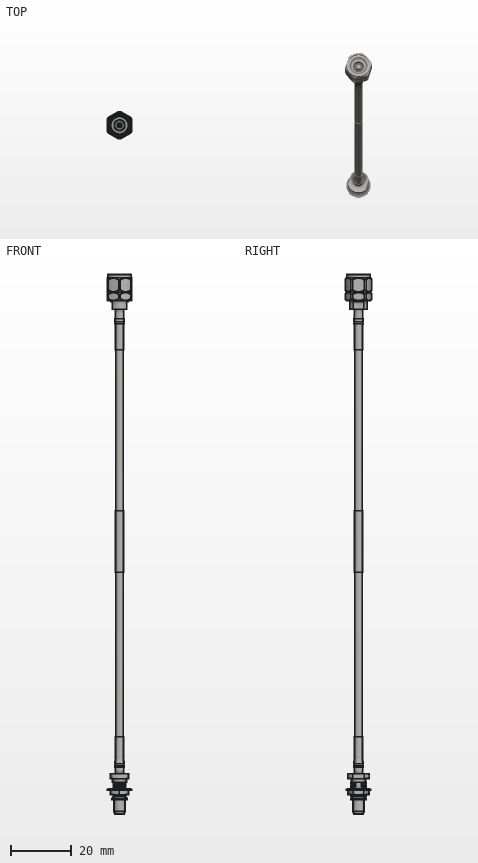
import cadquery as cq


NUT_FLATS = 8.0
NUT_CORNER_D = 8.9
NUT_ROUND_D = 7.8
NUT_TOP = 177.1
NUT_COLLAR_Z = 176.0
NUT_BOTTOM = 168.5
NUT_GROOVE_Z = 171.3
NUT_CHAMFER_H = 0.7
NUT_MOUTH_D = 6.9
NUT_MOUTH_BOTTOM = 176.0
NUT_THREAD_ROOT_D = 6.5
NUT_THREAD_PITCH = 0.5
NUT_THREAD_GROOVES = 4

PLUG_D = 5.8
PLUG_TOP = 174.0
PLUG_BOTTOM = 165.5
PLUG_FLATS = 4.8
PLUG_FLATS_TOP = 168.0
SOCKET_D = 3.5
SOCKET_DEPTH = 1.8

PIN_D = 1.5
PIN_TIP_D = 0.7
PIN_SEAT_DEPTH = 0.9
PIN_TIP_H = (PIN_D - PIN_TIP_D) / 2

CABLE_D = 2.5
TAIL_D = 2.8
SLEEVE_D = 2.7
RIDGE_D = 3.0
PLUG_TAIL_END = 161.0
PLUG_RIDGE_BOTTOM = 161.5
PLUG_RIDGE_TOP = 162.5
SLEEVE_CHAMFER_H = 0.5
UPPER_SLEEVE_BOTTOM = 152.3
MARKER_TOP = 99.5
MARKER_BOTTOM = 79.3
LOWER_SLEEVE_TOP = 25.3
LOWER_SLEEVE_TAPER_TOP = 18.0
LOWER_SLEEVE_TAPER_BOTTOM = 17.0
BULKHEAD_TAIL_END = 16.5
BULKHEAD_RIDGE_TOP = 16.0
BULKHEAD_RIDGE_BOTTOM = 15.4

FLANGE_D = 7.0
FLANGE_FLATS = 6.0
FLANGE_TOP = 13.3
FLANGE_BOTTOM = 11.7
NECK_D = 4.6
NECK_BOTTOM = 10.5
THREAD_D = 5.0
THREAD_ROOT_D = 4.6
THREAD_FLATS = 4.3
THREAD_BOTTOM = 5.8
THREAD_PITCH = 0.5
THREAD_GROOVES = 3
SHOULDER_BOTTOM = 4.8
SHOULDER_TOP = 5.1
NOSE_D = 3.7
NOSE_TIP_D = 3.0
NOSE_CHAMFER_Z = 0.9

WASHER_D = 8.0
WASHER_TOP = 8.3
WASHER_BOTTOM = 7.8
WASHER_BEVEL_W = 0.7
WASHER_BEVEL_H = 0.2
HEX_FLATS = 6.0
HEX_BOTTOM = 6.4


def turned(profile):
    """Solid of revolution about Z through (diameter, z) points, closed along the axis."""
    points = [(0, profile[0][1])]
    points += [(diameter / 2, z) for diameter, z in profile]
    points.append((0, profile[-1][1]))
    return cq.Workplane("XZ").polyline(points).close().revolve(360, (0, 0), (0, 1))


def cylinder(diameter, bottom, top):
    return turned([(diameter, bottom), (diameter, top)])


def hexagon(flats, bottom, top):
    """Hexagonal prism with two of its flats facing along X."""
    prism = cq.Workplane("XY").workplane(offset=bottom).polygon(6, flats, circumscribed=True)
    return prism.extrude(top - bottom)


def flatted(diameter, flats, bottom, top):
    """Cylinder with two flats facing along X."""
    slab = cq.Workplane("XY").box(flats, diameter, top - bottom, centered=(True, True, False))
    return cylinder(diameter, bottom, top).intersect(slab.translate((0, 0, bottom)))


def make_coupling_nut():
    profile = [
        (NUT_ROUND_D, NUT_BOTTOM),
        (NUT_CORNER_D, NUT_BOTTOM + NUT_CHAMFER_H),
        (NUT_CORNER_D, NUT_GROOVE_Z - NUT_CHAMFER_H),
        (NUT_ROUND_D, NUT_GROOVE_Z),
        (NUT_CORNER_D, NUT_GROOVE_Z + NUT_CHAMFER_H),
        (NUT_CORNER_D, NUT_COLLAR_Z - NUT_CHAMFER_H),
        (NUT_ROUND_D, NUT_COLLAR_Z),
        (NUT_ROUND_D, NUT_TOP),
    ]
    blank = hexagon(NUT_FLATS, NUT_BOTTOM, NUT_TOP).intersect(turned(profile))
    nut = blank.cut(cylinder(PLUG_D, NUT_BOTTOM, NUT_TOP))
    nut = nut.cut(cylinder(NUT_MOUTH_D, NUT_MOUTH_BOTTOM, NUT_TOP))
    for number in range(NUT_THREAD_GROOVES):
        top = NUT_MOUTH_BOTTOM - number * NUT_THREAD_PITCH
        nut = nut.cut(make_nut_thread_groove(top))
    return nut


def make_nut_thread_groove(top):
    """Double cone that cuts one V-shaped groove below `top` into the bore of the coupling nut."""
    bottom = top - NUT_THREAD_PITCH
    return turned([
        (PLUG_D, bottom),
        (NUT_THREAD_ROOT_D, (bottom + top) / 2),
        (PLUG_D, top),
    ])


def make_plug_pin():
    return turned([
        (PIN_D, PLUG_TOP - SOCKET_DEPTH - PIN_SEAT_DEPTH),
        (PIN_D, PLUG_TOP - PIN_TIP_H),
        (PIN_TIP_D, PLUG_TOP),
    ])


def make_plug_body(pin):
    tail = turned([
        (TAIL_D, PLUG_TAIL_END),
        (TAIL_D, PLUG_RIDGE_BOTTOM),
        (RIDGE_D, PLUG_RIDGE_BOTTOM),
        (RIDGE_D, PLUG_RIDGE_TOP),
        (TAIL_D, PLUG_RIDGE_TOP),
        (TAIL_D, PLUG_BOTTOM),
    ])
    wrench_grip = flatted(PLUG_D, PLUG_FLATS, PLUG_BOTTOM, PLUG_FLATS_TOP)
    barrel = cylinder(PLUG_D, PLUG_FLATS_TOP, PLUG_TOP)
    socket = cylinder(SOCKET_D, PLUG_TOP - SOCKET_DEPTH, PLUG_TOP)
    return tail.union(wrench_grip).union(barrel).cut(socket).cut(pin)


def make_cable():
    return cylinder(CABLE_D, BULKHEAD_TAIL_END, PLUG_TAIL_END)


def make_sleeve(profile, cable):
    return turned(profile).cut(cable)


def make_bulkhead_body():
    tail = turned([
        (TAIL_D, FLANGE_TOP),
        (TAIL_D, BULKHEAD_RIDGE_BOTTOM),
        (RIDGE_D, BULKHEAD_RIDGE_BOTTOM),
        (RIDGE_D, BULKHEAD_RIDGE_TOP),
        (TAIL_D, BULKHEAD_RIDGE_TOP),
        (TAIL_D, BULKHEAD_TAIL_END),
    ])
    flange = flatted(FLANGE_D, FLANGE_FLATS, FLANGE_BOTTOM, FLANGE_TOP)
    neck = cylinder(NECK_D, NECK_BOTTOM, FLANGE_BOTTOM)
    thread = flatted(THREAD_D, THREAD_FLATS, THREAD_BOTTOM, NECK_BOTTOM)
    for number in range(THREAD_GROOVES):
        thread = thread.cut(make_thread_groove(NECK_BOTTOM - number * THREAD_PITCH))
    nose = turned([
        (NOSE_TIP_D, 0),
        (NOSE_D, NOSE_CHAMFER_Z),
        (NOSE_D, SHOULDER_BOTTOM),
        (THREAD_D, SHOULDER_BOTTOM),
        (THREAD_D, SHOULDER_TOP),
        (NOSE_D, THREAD_BOTTOM),
    ])
    return nose.union(thread).union(neck).union(flange).union(tail)


def make_thread_groove(top):
    """Ring with a V-shaped inner side, which cuts one thread groove below `top`."""
    bottom = top - THREAD_PITCH
    outside = cylinder(THREAD_D + THREAD_PITCH, bottom, top)
    core = turned([
        (THREAD_D, bottom),
        (THREAD_ROOT_D, (bottom + top) / 2),
        (THREAD_D, top),
    ])
    return outside.cut(core)


def make_washer():
    washer = turned([
        (WASHER_D, WASHER_BOTTOM),
        (WASHER_D, WASHER_TOP - WASHER_BEVEL_H),
        (WASHER_D - 2 * WASHER_BEVEL_W, WASHER_TOP),
    ])
    return washer.cut(cylinder(THREAD_D, WASHER_BOTTOM, WASHER_TOP))


def make_hex_nut():
    nut = hexagon(HEX_FLATS, HEX_BOTTOM, WASHER_BOTTOM)
    return nut.cut(cylinder(THREAD_D, HEX_BOTTOM, WASHER_BOTTOM))


coupling_nut = make_coupling_nut()
plug_pin = make_plug_pin()
plug_body = make_plug_body(plug_pin)
cable = make_cable()

sleeve_profiles = [
    [
        (TAIL_D, UPPER_SLEEVE_BOTTOM),
        (TAIL_D, PLUG_TAIL_END - SLEEVE_CHAMFER_H),
        (RIDGE_D, PLUG_TAIL_END),
    ],
    [(SLEEVE_D, MARKER_BOTTOM), (SLEEVE_D, MARKER_TOP)],
    [
        (RIDGE_D, BULKHEAD_TAIL_END),
        (RIDGE_D, LOWER_SLEEVE_TAPER_BOTTOM),
        (SLEEVE_D, LOWER_SLEEVE_TAPER_TOP),
        (SLEEVE_D, LOWER_SLEEVE_TOP),
    ],
]
sleeves = [make_sleeve(profile, cable) for profile in sleeve_profiles]

bulkhead_body = make_bulkhead_body()
washer = make_washer()
hex_nut = make_hex_nut()

result = cq.Compound.makeCompound([
    coupling_nut.val(),
    plug_body.val(),
    plug_pin.val(),
    cable.val(),
    *[sleeve.val() for sleeve in sleeves],
    bulkhead_body.val(),
    washer.val(),
    hex_nut.val(),
])